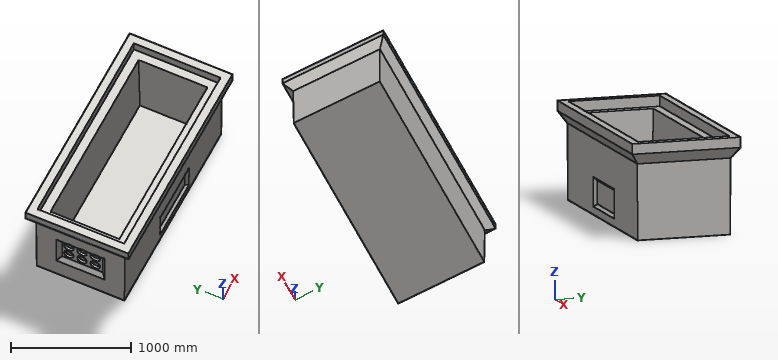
import cadquery as cq

LENGTH = 1997.01
WIDTH = 948.79
HEIGHT = 834.64

RIM_HEIGHT = 87.5
FLARE_HEIGHT = 97.0
RIM_OVERHANG = 66.0
BODY_TOP_Z = HEIGHT - RIM_HEIGHT - FLARE_HEIGHT
BODY_DRAFT = 3.0

RIM_WALL = 75.0
REBATE_DEPTH = 90.0
END_LEDGE_WIDTH = 79.0
SIDE_LEDGE_WIDTH = 82.0
LEDGE_Z = HEIGHT - REBATE_DEPTH
CAVITY_DRAFT = 22.0
FLOOR_THICKNESS = 115.0

FRONT_POCKET_LENGTH = 550.0
FRONT_POCKET_HEIGHT = 250.0
FRONT_POCKET_TAPER = 25.0
FRONT_POCKET_DEPTH = 25.0
FRONT_POCKET_X = 30.0
FRONT_POCKET_BOTTOM_Z = 70.0

END_POCKET_WIDTH = 445.0
END_POCKET_HEIGHT = 306.0
END_POCKET_TAPER = 34.5
END_POCKET_DEPTH = 37.0
END_POCKET_BOTTOM_Z = 196.0
HOLE_DIAMETER = 88.0
HOLE_DEPTH = 25.0
HOLE_COLUMNS = 3
HOLE_ROWS = 2
HOLE_PITCH_Y = 122.0
HOLE_PITCH_Z = 110.0
HOLE_GRID_Y = 4.5
HOLE_GRID_Z = 350.0


def frustum(plane, length, width, depth, taper):
    """Rectangle on the plane, lofted along its normal to one inset by the taper on every side."""
    return (
        cq.Workplane(plane)
        .rect(length, width)
        .workplane(offset=depth)
        .rect(length - 2 * taper, width - 2 * taper)
        .loft(combine=True, ruled=True)
    )


def plane_facing_down(z):
    return cq.Plane(origin=(0, 0, z), xDir=(1, 0, 0), normal=(0, 0, -1))


def outer_block():
    body_length = LENGTH - 2 * RIM_OVERHANG
    body_width = WIDTH - 2 * RIM_OVERHANG
    rim = frustum(plane_facing_down(HEIGHT), LENGTH, WIDTH, RIM_HEIGHT, 0)
    flare = frustum(plane_facing_down(HEIGHT - RIM_HEIGHT), LENGTH, WIDTH, FLARE_HEIGHT, RIM_OVERHANG)
    body = frustum(plane_facing_down(BODY_TOP_Z), body_length, body_width, BODY_TOP_Z, BODY_DRAFT)
    return rim.union(flare).union(body)


def cavity():
    rebate_length = LENGTH - 2 * RIM_WALL
    rebate_width = WIDTH - 2 * RIM_WALL
    rebate = frustum(plane_facing_down(HEIGHT), rebate_length, rebate_width, REBATE_DEPTH, 0)
    basin = frustum(
        plane_facing_down(LEDGE_Z),
        rebate_length - 2 * END_LEDGE_WIDTH,
        rebate_width - 2 * SIDE_LEDGE_WIDTH,
        LEDGE_Z - FLOOR_THICKNESS,
        CAVITY_DRAFT,
    )
    return rebate.union(basin)


def wall_pocket(plane, length, height, depth, taper):
    """Pocket sized at the wall's base plane, its sloping flanks extended outwards past the drafted wall."""
    flank_growth = BODY_DRAFT * taper / depth
    outer_plane = cq.Plane(
        origin=plane.toWorldCoords((0, 0, -BODY_DRAFT)), xDir=plane.xDir, normal=plane.zDir
    )
    return frustum(
        outer_plane,
        length + 2 * flank_growth,
        height + 2 * flank_growth,
        depth + BODY_DRAFT,
        taper + flank_growth,
    )


def front_pocket():
    center_z = FRONT_POCKET_BOTTOM_Z + FRONT_POCKET_HEIGHT / 2
    wall_y = -WIDTH / 2 + RIM_OVERHANG + BODY_DRAFT
    plane = cq.Plane(origin=(FRONT_POCKET_X, wall_y, center_z), xDir=(1, 0, 0), normal=(0, 1, 0))
    return wall_pocket(
        plane, FRONT_POCKET_LENGTH, FRONT_POCKET_HEIGHT, FRONT_POCKET_DEPTH, FRONT_POCKET_TAPER
    )


def end_pocket():
    wall_x = -LENGTH / 2 + RIM_OVERHANG + BODY_DRAFT
    center_z = END_POCKET_BOTTOM_Z + END_POCKET_HEIGHT / 2
    plane = cq.Plane(origin=(wall_x, 0, center_z), xDir=(0, 1, 0), normal=(1, 0, 0))
    pocket = wall_pocket(plane, END_POCKET_WIDTH, END_POCKET_HEIGHT, END_POCKET_DEPTH, END_POCKET_TAPER)
    floor = cq.Plane(
        origin=(wall_x + END_POCKET_DEPTH, HOLE_GRID_Y, HOLE_GRID_Z), xDir=(0, 1, 0), normal=(1, 0, 0)
    )
    holes = (
        cq.Workplane(floor)
        .rarray(HOLE_PITCH_Y, HOLE_PITCH_Z, HOLE_COLUMNS, HOLE_ROWS)
        .circle(HOLE_DIAMETER / 2)
        .extrude(HOLE_DEPTH)
    )
    return pocket.union(holes)


result = outer_block().cut(cavity()).cut(front_pocket()).cut(end_pocket())